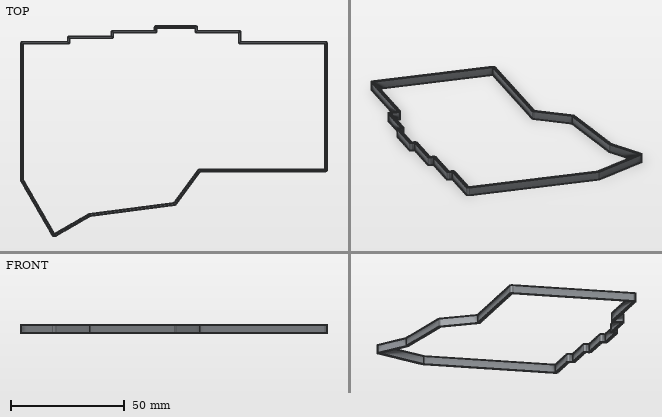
import cadquery as cq
import math

LENGTH_X = 134.45
WIDTH_Y = 92.42
HEIGHT = 3.6
WALL = 1.0

FIRST_STEP_X = 20.55
KEY_PITCH = 19.05
FIRST_DROP_X = 77.5
SECOND_DROP_X = FIRST_DROP_X + KEY_PITCH

TOP_STEP = 2.17
STEP = KEY_PITCH / 8
LEVEL_1 = -TOP_STEP
LEVEL_2 = LEVEL_1 - STEP
LEVEL_3 = LEVEL_2 - STEP

FRONT_RIGHT_Y = -64.02
TIP_X = 14.35
THUMB_ANGLE = math.radians(30)
THUMB_LENGTH = 18.45
SLANT_END = (67.83, -78.67)
NOTCH_X = 78.6

TIP_LIFT = WALL * (math.cos(THUMB_ANGLE) + math.sin(THUMB_ANGLE) - 1)
TIP = (TIP_X, -WIDTH_Y - TIP_LIFT)
LEFT_BOTTOM_Y = TIP[1] + TIP[0] / math.tan(THUMB_ANGLE)
THUMB_END = (
    TIP[0] + THUMB_LENGTH * math.cos(THUMB_ANGLE),
    TIP[1] + THUMB_LENGTH * math.sin(THUMB_ANGLE),
)

OUTLINE = [
    (0, LEVEL_3),
    (FIRST_STEP_X, LEVEL_3),
    (FIRST_STEP_X, LEVEL_2),
    (FIRST_STEP_X + KEY_PITCH, LEVEL_2),
    (FIRST_STEP_X + KEY_PITCH, LEVEL_1),
    (FIRST_STEP_X + 2 * KEY_PITCH, LEVEL_1),
    (FIRST_STEP_X + 2 * KEY_PITCH, 0),
    (FIRST_DROP_X, 0),
    (FIRST_DROP_X, LEVEL_1),
    (SECOND_DROP_X, LEVEL_1),
    (SECOND_DROP_X, LEVEL_3),
    (LENGTH_X, LEVEL_3),
    (LENGTH_X, FRONT_RIGHT_Y),
    (NOTCH_X, FRONT_RIGHT_Y),
    SLANT_END,
    THUMB_END,
    TIP,
    (0, LEFT_BOTTOM_Y),
]


def inset(corners, distance):
    """Corners of the parallel outline lying inside a clockwise one."""
    moved = []
    for index, (x, y) in enumerate(corners):
        before = corners[index - 1]
        after = corners[(index + 1) % len(corners)]
        angle_in = math.atan2(y - before[1], x - before[0])
        angle_out = math.atan2(after[1] - y, after[0] - x)
        half_turn = math.remainder(angle_out - angle_in, math.tau) / 2
        middle = angle_in + half_turn
        reach = distance / math.cos(half_turn)
        moved.append((x + reach * math.sin(middle), y - reach * math.cos(middle)))
    return moved


def make_frame():
    """Closed wall of constant thickness, rounded on the outer side of every bend."""
    opening = cq.Workplane("XY").polyline(OUTLINE).close().offset2D(-WALL, "arc").extrude(HEIGHT)
    inner_corners = inset(OUTLINE, WALL)
    body = cq.Workplane("XY").polyline(inner_corners).close().offset2D(WALL, "arc").extrude(HEIGHT)
    return body.cut(opening)


result = make_frame()